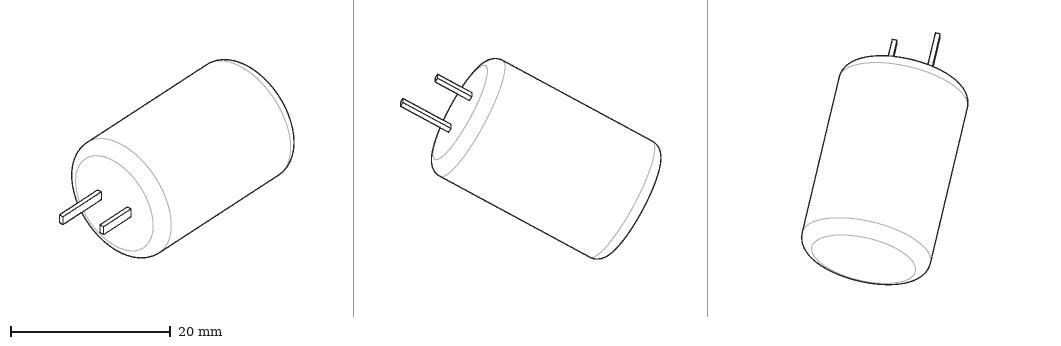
import cadquery as cq

overall_length = 32
long_lead_length = 7.0
short_lead_length = 5.0
can_length = overall_length - long_lead_length
can_diameter = 16.5
rim_radius = 1.6

lead_pitch = 5.1
lead_width = 0.6
lead_height = 1.25


def make_can():
    """Rounded cylinder from Y = 0 to Y = can_length."""
    cylinder = cq.Workplane("XZ").circle(can_diameter / 2).extrude(-can_length)
    return cylinder.edges("%CIRCLE").fillet(rim_radius)


def make_lead(center_x, length):
    """Flat rectangular pin pointing toward -Y from the can's end face."""
    return cq.Workplane("XZ").center(center_x, 0).rect(lead_width, lead_height).extrude(length)


result = make_can()
result = result.union(make_lead(-lead_pitch / 2, long_lead_length))
result = result.union(make_lead(lead_pitch / 2, short_lead_length))